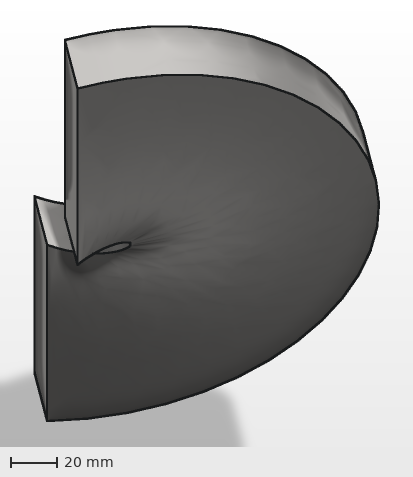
import cadquery as cq
import math

outer_radius = 140.0
inner_radius = 30.0
rise = 71.5
thickness = 30.0
axis_angle = -49.8

axis = cq.Vector(math.cos(math.radians(axis_angle)), math.sin(math.radians(axis_angle)), 0)

helix_plane = cq.Plane(origin=(0, 0, 0), xDir=(0, 0, -1), normal=axis.toTuple())


def half_turn(radius):
    """Right-handed half-turn helix edge, from the bottom end to the top end."""
    helix = cq.Wire.makeHelix(pitch=2 * rise, height=rise, radius=radius)
    return helix.Edges()[0].moved(cq.Location(helix_plane))


ramp_face = cq.Face.makeRuledSurface(half_turn(inner_radius), half_turn(outer_radius))
ramp = cq.Solid.extrudeLinear(ramp_face, axis * thickness)

result = cq.Workplane("XY").newObject([ramp])